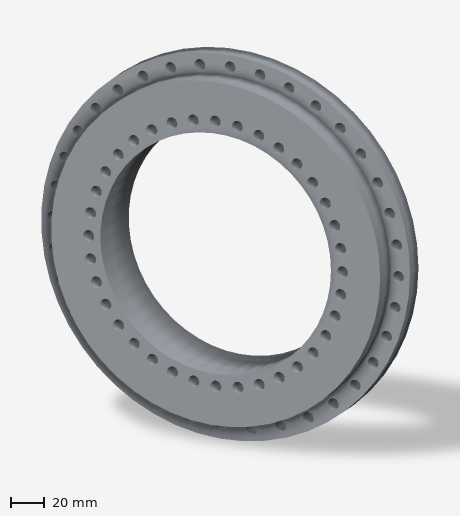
import cadquery as cq

flange_diameter = 240.0
hub_diameter = 214.0
bore_diameter = 150.0
ring_width = 40.0
flange_width = 12.0

hole_diameter = 7.0
holes_per_circle = 36
inner_circle_diameter = 165.0
inner_start_angle = 0.14
outer_circle_diameter = 225.0
outer_start_angle = 8.53


def centred_disc(diameter, width):
    """Disc about the Y axis, centred on the XZ plane."""
    return cq.Workplane("XZ", origin=(0, width / 2, 0)).circle(diameter / 2).extrude(width)


def bolt_holes(circle_diameter, start_angle, depth):
    """Evenly spaced hole cutters, centred on the XZ plane."""
    return (
        cq.Workplane("XZ", origin=(0, depth / 2, 0))
        .polarArray(circle_diameter / 2, start_angle, 360, holes_per_circle)
        .circle(hole_diameter / 2)
        .extrude(depth)
    )


body = centred_disc(hub_diameter, ring_width).union(centred_disc(flange_diameter, flange_width))

body = body.cut(centred_disc(bore_diameter, ring_width))

body = body.cut(bolt_holes(inner_circle_diameter, inner_start_angle, ring_width))
result = body.cut(bolt_holes(outer_circle_diameter, outer_start_angle, flange_width))